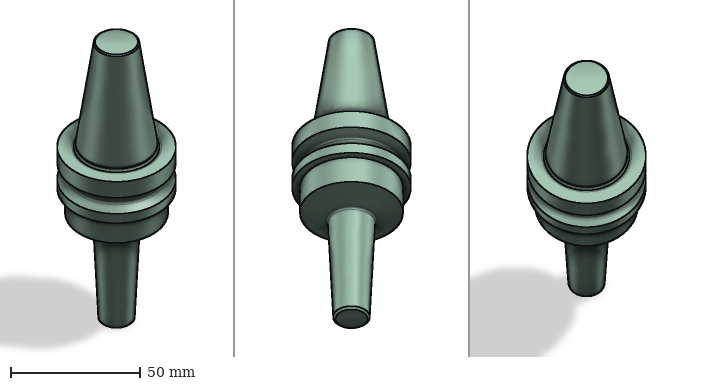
import cadquery as cq
import math

TOTAL_HEIGHT = 133.4

GAUGE_RADIUS = 15.9
TAPER_LENGTH = 48.4
TAPER_RATIO = 7 / 24
TAPER_EDGE = 0.5
NECK_LENGTH = 2.0

FLANGE_RADIUS = 23.01
FLANGE_HEIGHT = 20.0
UPPER_RIM_HEIGHT = 7.7
LOWER_RIM_HEIGHT = 4.5
GROOVE_FLOOR_RADIUS = 19.1
GROOVE_FLANK_ANGLE = 30.0
GROOVE_FILLET = 1.1

UNDERCUT_START = 1.2
UNDERCUT_NECK_DEPTH = 0.2
UNDERCUT_FACE_DEPTH = 0.2
UNDERCUT_FILLET = 1.0
UNDERCUT_OUTER_RADIUS = 17.3

BODY_RADIUS = 20.0
BODY_HEIGHT = 11.7
SHOULDER_HEIGHT = 4.5
NOSE_ROOT_RADIUS = 9.2
NOSE_TIP_RADIUS = 7.1
NOSE_ROOT_FILLET = 1.1
TIP_CHAMFER = 1.0

gauge_z = TOTAL_HEIGHT - TAPER_LENGTH
flange_top = gauge_z - NECK_LENGTH
flange_bottom = flange_top - FLANGE_HEIGHT
body_bottom = flange_bottom - BODY_HEIGHT
nose_root = body_bottom - SHOULDER_HEIGHT
taper_end_radius = GAUGE_RADIUS - TAPER_LENGTH * TAPER_RATIO / 2
undercut_neck_radius = GAUGE_RADIUS - UNDERCUT_NECK_DEPTH
undercut_floor = flange_top - UNDERCUT_FACE_DEPTH
groove_top = flange_top - UPPER_RIM_HEIGHT
groove_bottom = flange_bottom + LOWER_RIM_HEIGHT
flank_height = (FLANGE_RADIUS - GROOVE_FLOOR_RADIUS) * math.tan(math.radians(GROOVE_FLANK_ANGLE))


def revolve_outline(points):
    """Turn an outline of (radius, height) points about the Z axis."""
    return cq.Workplane("XZ").polyline(points).close().revolve(360, (0, 0, 0), (0, 1, 0))


def make_taper():
    taper = revolve_outline([
        (0, flange_bottom),
        (undercut_neck_radius, flange_bottom),
        (undercut_neck_radius, undercut_floor + UNDERCUT_FILLET),
        (GAUGE_RADIUS, flange_top + UNDERCUT_START),
        (GAUGE_RADIUS, gauge_z),
        (taper_end_radius, TOTAL_HEIGHT),
        (0, TOTAL_HEIGHT),
    ])
    return taper.faces(">Z").edges().chamfer(TAPER_EDGE)


def make_undercut_fillet():
    """Ring that rounds the inner corner of the undercut."""
    outer_radius = undercut_neck_radius + UNDERCUT_FILLET
    upper_z = undercut_floor + UNDERCUT_FILLET
    profile = (
        cq.Workplane("XZ")
        .moveTo(undercut_neck_radius, upper_z)
        .radiusArc((outer_radius, undercut_floor), -UNDERCUT_FILLET)
        .lineTo(outer_radius, flange_bottom)
        .lineTo(0, flange_bottom)
        .lineTo(0, upper_z)
        .close()
    )
    return profile.revolve(360, (0, 0, 0), (0, 1, 0))


def make_flange():
    flange = revolve_outline([
        (0, flange_bottom),
        (FLANGE_RADIUS, flange_bottom),
        (FLANGE_RADIUS, groove_bottom),
        (GROOVE_FLOOR_RADIUS, groove_bottom + flank_height),
        (GROOVE_FLOOR_RADIUS, groove_top - flank_height),
        (FLANGE_RADIUS, groove_top),
        (FLANGE_RADIUS, flange_top),
        (UNDERCUT_OUTER_RADIUS, flange_top),
        (undercut_neck_radius + UNDERCUT_FILLET, undercut_floor),
        (0, undercut_floor),
    ])
    groove_corners = cq.selectors.RadiusNthSelector(2)
    return flange.edges(groove_corners).fillet(GROOVE_FILLET)


def make_nose():
    nose = revolve_outline([
        (0, 0),
        (NOSE_TIP_RADIUS, 0),
        (NOSE_ROOT_RADIUS, nose_root),
        (BODY_RADIUS, body_bottom),
        (BODY_RADIUS, flange_bottom),
        (0, flange_bottom),
    ])
    nose = nose.edges(cq.selectors.RadiusNthSelector(1)).fillet(NOSE_ROOT_FILLET)
    return nose.faces("<Z").edges().chamfer(TIP_CHAMFER)


result = make_nose().union(make_flange()).union(make_undercut_fillet()).union(make_taper())